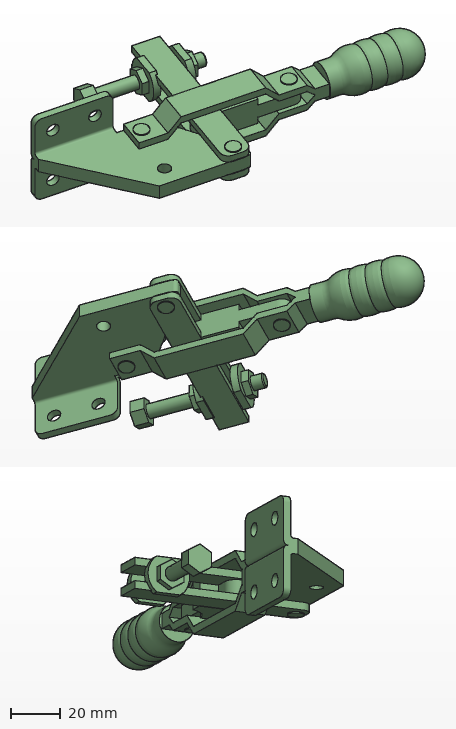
import cadquery as cq
import math


sheet = 3.2
stack = 2 * sheet

handle_tip_y = 99.8
grip_radius = 10.4
groove_pitch = 7.0
groove_count = 3
groove_width = 2.5
crown_drop = 0.2
groove_depth = 0.5
shoulder_length = 5.6
shoulder_radius = 8.7
neck_length = 3.0
collar_radius = 7.8
collar_length = 5.6

lever_width = 13.3
bar_fork_y = 47.7
strap_start_y = 44.1
bulge_top_y = 31.3
bulge_bottom_y = -18.9
bulge_slope_length = 6.0
bulge_rise = 6.1
lever_end_y = -32.0

pin_radius = 3.4
pin_half_length = 7.0
link_pin = (0, 39.3)
lever_pin = (0, -27.5)
arm_pin = (26.5, 0)

arm_left_x = -48.0
arm_right_x = 31.0
arm_width = 12.8
arm_corner_radius = 4.1

ear_left_x = -13.0
ear_flank_y = 13.0
ear_flank_middle = (-6.6, 17.7)
ear_top_left_x = -4.8
ear_half_height = 6.3
ear_top_y = 22.8

link_radius = 4.8

base_left_x = -lever_width / 2
base_right_x = 30.7
base_shoulder_y = -18.2
base_top_left_x = 27.3
base_side_bottom_y = -35.6
base_bottom_y = -70.5
base_shoulder_radius = 3.2
base_corner_radius = 1.7
base_hole = (22.0, -28.6)
mount_hole_diameter = 5.6

flange_left_x = ear_left_x
flange_length = 35.5
flange_height = 42.0
flange_corner_radius = 3.2
flange_hole_y = (-43.3, -62.3)
flange_hole_z = 13.0
bend_inner_radius = 1.2
bend_outer_radius = 1.9

bolt_x = -34.0
bolt_radius = 3.0
bolt_tip_y = 18.9
bolt_tip_chamfer = 0.5
bolt_head_y = -31.2
bolt_head_length = 6.1
hex_across_flats = 10.4
nut_height = 3.0
washer_radius = 9.2
washer_thickness = 3.2
washer_half_height = 7.5
upper_washer_y = 7.3
lower_washer_y = -5.5


def extrude_between(outline, z_low, z_high):
    """Extrude a closed XY outline from z_low to z_high."""
    return outline.extrude(z_high - z_low).translate((0, 0, z_low))


def both_sides(body):
    """Join a body with its mirror image about Z = 0."""
    return body.union(body.mirror("XY"))


def rod_along_y(radius, y_start, y_end):
    """Round rod on the bolt axis."""
    rod = cq.Workplane("XZ", origin=(bolt_x, y_start, 0)).circle(radius)
    return rod.extrude(y_start - y_end)


def hex_along_y(y_start, y_end):
    """Hexagonal prism on the bolt axis with corners pointing up and down."""
    hexagon = cq.Workplane("XZ", origin=(bolt_x, y_start, 0))
    return hexagon.polygon(6, hex_across_flats, circumscribed=True).extrude(y_start - y_end)


def make_handle():
    """Domed grip with shallow ring grooves, narrowing to a collar."""
    first_crest_y = handle_tip_y - grip_radius
    last_crest_y = first_crest_y - groove_count * groove_pitch
    shoulder_y = last_crest_y - shoulder_length
    neck_y = shoulder_y - neck_length
    collar_y = neck_y - collar_length
    lip_radius = grip_radius - crown_drop
    dome_middle = grip_radius * math.sqrt(0.5)

    profile = cq.Workplane("XY").moveTo(0, handle_tip_y)
    profile = profile.threePointArc(
        (dome_middle, first_crest_y + dome_middle),
        (grip_radius, first_crest_y),
    )
    for groove in range(groove_count):
        groove_y = first_crest_y - (groove + 0.5) * groove_pitch
        profile = (
            profile.lineTo(lip_radius, groove_y + groove_width / 2)
            .lineTo(grip_radius - groove_depth, groove_y)
            .lineTo(lip_radius, groove_y - groove_width / 2)
            .lineTo(grip_radius, groove_y - groove_pitch / 2)
        )
    shoulder_drop = grip_radius - shoulder_radius
    shoulder_arc = (shoulder_length**2 + shoulder_drop**2) / (2 * shoulder_drop)
    half_turn = math.asin(shoulder_length / shoulder_arc) / 2
    shoulder_middle = (
        grip_radius - shoulder_arc * (1 - math.cos(half_turn)),
        last_crest_y - shoulder_arc * math.sin(half_turn),
    )
    profile = (
        profile.threePointArc(shoulder_middle, (shoulder_radius, shoulder_y))
        .tangentArcPoint((collar_radius, neck_y), relative=False)
        .lineTo(collar_radius, collar_y)
        .lineTo(0, collar_y)
        .close()
    )
    return profile.revolve(360, (0, 0, 0), (0, 1, 0))


def make_lever():
    """Pair of straps, joggled outward around the arm and joined in a bar inside the grip."""
    bar_end_y = handle_tip_y - 2 * grip_radius
    crest_top_y = bulge_top_y - bulge_slope_length
    crest_bottom_y = bulge_bottom_y + bulge_slope_length
    inner_edge = [
        (bar_end_y, 0),
        (bar_fork_y, 0),
        (strap_start_y, sheet),
        (bulge_top_y, sheet),
        (crest_top_y, sheet + bulge_rise),
        (crest_bottom_y, sheet + bulge_rise),
        (bulge_bottom_y, sheet),
        (lever_end_y, sheet),
    ]
    outer_edge = [(y, z + sheet) for y, z in reversed(inner_edge)]
    strap = cq.Workplane("YZ").polyline(inner_edge + outer_edge).close()
    return both_sides(strap.extrude(lever_width / 2, both=True))


def make_pins():
    """Three pivot pins whose ends stand slightly proud of the sheets."""
    pins = cq.Workplane("XY").pushPoints([link_pin, lever_pin, arm_pin])
    return pins.circle(pin_radius).extrude(pin_half_length, both=True)


def make_arm():
    """Two bars with rounded pivot ends and the solid ear standing on their edges."""
    bar = (
        cq.Workplane("XY")
        .center((arm_left_x + arm_right_x) / 2, 0)
        .rect(arm_right_x - arm_left_x, arm_width)
    )
    bar = extrude_between(bar, sheet, stack).edges("|Z and >X").fillet(arm_corner_radius)
    ear = (
        cq.Workplane("XY")
        .moveTo(ear_left_x, arm_width / 2)
        .lineTo(ear_left_x, ear_flank_y)
        .threePointArc(ear_flank_middle, (ear_top_left_x, ear_top_y))
        .lineTo(link_radius, ear_top_y)
        .lineTo(link_radius, arm_width / 2)
        .close()
    )
    return both_sides(bar).union(extrude_between(ear, -ear_half_height, ear_half_height))


def make_link():
    """Round-ended link from the lever pin to the middle of the arm."""
    length = link_pin[1] + 2 * link_radius
    link = cq.Workplane("XY").center(0, link_pin[1] / 2).slot2D(length, 2 * link_radius, 90)
    return link.extrude(sheet, both=True)


def make_base():
    """Plate of two back-to-back sheets, bent apart at the bottom into a mounting flange."""
    top_y = arm_width / 2
    flange_top_y = base_bottom_y + flange_length
    flange_middle_y = base_bottom_y + flange_length / 2
    flange_right_x = flange_left_x + sheet
    plate = (
        cq.Workplane("XY")
        .moveTo(flange_right_x, base_bottom_y)
        .lineTo(base_left_x, base_bottom_y)
        .lineTo(base_right_x, base_side_bottom_y)
        .lineTo(base_right_x, top_y)
        .lineTo(base_top_left_x, top_y)
        .lineTo(base_left_x, base_shoulder_y)
        .lineTo(base_left_x, flange_top_y)
        .lineTo(flange_right_x, flange_top_y)
        .close()
    )
    plate = extrude_between(plate, -sheet, sheet)
    top_corner = cq.selectors.NearestToPointSelector((base_right_x, top_y, 0))
    plate = plate.edges(top_corner).fillet(base_corner_radius)
    shoulder_corner = cq.selectors.NearestToPointSelector((base_left_x, base_shoulder_y, 0))
    plate = plate.edges(shoulder_corner).fillet(base_shoulder_radius)
    flange = (
        cq.Workplane("YZ", origin=(flange_left_x, flange_middle_y, 0))
        .rect(flange_length, flange_height)
        .extrude(sheet)
        .edges("|X")
        .fillet(flange_corner_radius)
    )
    base = plate.union(flange)

    for z in (-sheet, sheet):
        inner_bend = cq.selectors.NearestToPointSelector((flange_right_x, flange_middle_y, z))
        base = base.edges(inner_bend).fillet(bend_inner_radius)
    arc_offset = bend_outer_radius * (1 - math.sqrt(0.5))
    seam = (
        cq.Workplane("XZ", origin=(0, base_bottom_y, 0))
        .moveTo(flange_left_x, bend_outer_radius)
        .threePointArc((flange_left_x + arc_offset, arc_offset), (flange_left_x + bend_outer_radius, 0))
        .threePointArc((flange_left_x + arc_offset, -arc_offset), (flange_left_x, -bend_outer_radius))
        .close()
        .extrude(-flange_length)
    )
    base = base.cut(seam)

    plate_hole = cq.Workplane("XY").center(*base_hole).circle(mount_hole_diameter / 2)
    hole_centres = [(y, z) for y in flange_hole_y for z in (-flange_hole_z, flange_hole_z)]
    flange_holes = (
        cq.Workplane("YZ", origin=(flange_left_x, 0, 0))
        .pushPoints(hole_centres)
        .circle(mount_hole_diameter / 2)
        .extrude(sheet)
    )
    return base.cut(plate_hole.extrude(sheet, both=True)).cut(flange_holes)


def make_washer(y_top):
    """Round washer with flats above and below."""
    disc = rod_along_y(washer_radius, y_top - washer_thickness, y_top)
    flats = cq.Workplane("XY").box(2 * washer_radius, washer_thickness, 2 * washer_half_height)
    return disc.intersect(flats.translate((bolt_x, y_top - washer_thickness / 2, 0)))


def make_spindle():
    """Hexagon-head bolt held in the arm by two washers and two nuts."""
    upper_washer_top_y = upper_washer_y + washer_thickness
    lower_washer_bottom_y = lower_washer_y - washer_thickness
    shank = rod_along_y(bolt_radius, bolt_head_y, bolt_tip_y).edges(">Y").chamfer(bolt_tip_chamfer)
    return (
        shank.union(hex_along_y(bolt_head_y - bolt_head_length, bolt_head_y))
        .union(make_washer(upper_washer_top_y))
        .union(hex_along_y(upper_washer_top_y, upper_washer_top_y + nut_height))
        .union(make_washer(lower_washer_y))
        .union(hex_along_y(lower_washer_bottom_y - nut_height, lower_washer_bottom_y))
    )


result = make_lever()
for component in (make_handle(), make_link(), make_arm(), make_base(), make_pins(), make_spindle()):
    result = result.union(component)